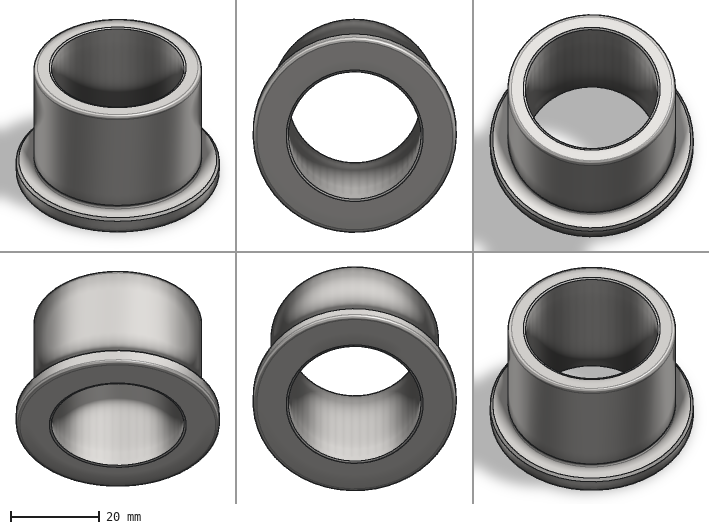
import cadquery as cq
import math

flange_radius = 23.0
flange_height = 4.0
total_height = 29.75
sleeve_radius = 19.0
sleeve_bore_radius = 15.5
liner_bore_radius = 15.0

flange_chamfer = 0.6
outer_fillet = 0.85
liner_round_width = 0.4
liner_round_drop = 0.2

relief_chamfer = 0.28
relief_chamfer_angle = math.radians(45)
relief_fillet = 0.4
relief_blend = 0.35


def make_sleeve():
    """Flanged outer sleeve with a relief groove above the flange."""
    blend_depth = relief_blend * (1 - math.cos(relief_chamfer_angle))
    blend_height = relief_blend * math.sin(relief_chamfer_angle)
    blend_radius = sleeve_radius - relief_chamfer * math.tan(relief_chamfer_angle)
    groove_radius = blend_radius - blend_depth
    groove_bottom = flange_height + relief_fillet
    blend_top = groove_bottom + blend_height
    profile = (
        cq.Workplane("XZ")
        .moveTo(sleeve_bore_radius, 0)
        .lineTo(flange_radius - outer_fillet, 0)
        .radiusArc((flange_radius, outer_fillet), -outer_fillet)
        .lineTo(flange_radius, flange_height - flange_chamfer)
        .lineTo(flange_radius - flange_chamfer, flange_height)
        .lineTo(groove_radius + relief_fillet, flange_height)
        .radiusArc((groove_radius, groove_bottom), relief_fillet)
        .radiusArc((blend_radius, blend_top), relief_blend)
        .lineTo(sleeve_radius, blend_top + relief_chamfer)
        .lineTo(sleeve_radius, total_height - outer_fillet)
        .radiusArc((sleeve_radius - outer_fillet, total_height), -outer_fillet)
        .lineTo(sleeve_bore_radius, total_height)
        .close()
    )
    return profile.revolve(360, (0, 0, 0), (0, 1, 0))


def make_liner():
    """Thin full-height liner with shallow rounded lead-ins at both bore ends."""
    round_radius = (liner_round_width**2 + liner_round_drop**2) / (2 * liner_round_drop)
    round_start = liner_bore_radius + liner_round_width
    profile = (
        cq.Workplane("XZ")
        .moveTo(sleeve_bore_radius, 0)
        .lineTo(sleeve_bore_radius, total_height)
        .lineTo(round_start, total_height)
        .radiusArc((liner_bore_radius, total_height - liner_round_drop), -round_radius)
        .lineTo(liner_bore_radius, liner_round_drop)
        .radiusArc((round_start, 0), -round_radius)
        .close()
    )
    return profile.revolve(360, (0, 0, 0), (0, 1, 0))


sleeve = make_sleeve()
liner = make_liner()

result = cq.Compound.makeCompound([sleeve.val(), liner.val()])